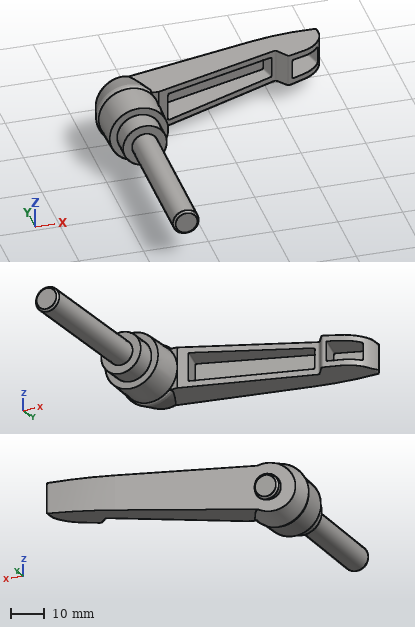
import cadquery as cq
import math


screw_diameter = 8.0
screw_chamfer = 0.65
screw_length = 45.0
screw_top = 28.45
collar_diameter = 13.5
collar_height = 6.5

hub_bottom_radius = 9.03
hub_top_radius = 9.3
rim_radius = 9.75
rim_bottom = 17.55
rim_round = 0.7
rim_band_height = 0.85
hub_cone_angle = 15.0
hub_blank_height = 32.0
trim_height = 40.0

arm_end = 65.0
overall_top = 41.55
top_angle = 15.0
top_axis_height = 27.15
top_round_radius = 77.0
underside_angle = 20.2
nose_radius = 11.0
nose_corner_round = 0.85
notch_x = 49.5
lip_x = 52.4
notch_round = 0.8
lip_round = 1.0

root_half_width = 6.62
width_slope = 1 / 30
end_corner_round = 0.8
arm_blank_width = 20.0
arm_blank_height = 50.0

pocket_wall = 2.0
pocket_roof = 3.0
pocket_corner_round = 0.6
pocket_cut_depth = 20.0
pocket_spans = [(9.8, 47.75), (52.3, 62.9)]

top_slope = math.tan(math.radians(top_angle))
underside_slope = math.tan(math.radians(underside_angle))


def top_height(x):
    return top_axis_height + top_slope * x


def underside_height(x):
    return rim_bottom + underside_slope * (x - hub_top_radius)


def half_width(x):
    return root_half_width - width_slope * (x - hub_top_radius)


def upright_arc_middle(lower, upper):
    """Middle of the bulging arc from lower to upper that ends parallel to the screw axis."""
    inset = upper[0] - lower[0]
    rise = upper[1] - lower[1]
    radius = (inset**2 + rise**2) / (2 * inset)
    half_angle = math.asin(rise / radius) / 2
    return (
        upper[0] - radius * (1 - math.cos(half_angle)),
        upper[1] - radius * math.sin(half_angle),
    )


def make_screw():
    shank = (
        cq.Workplane("XZ", origin=(0, screw_top, 0))
        .circle(screw_diameter / 2)
        .extrude(screw_top + screw_length)
        .faces("<Y or >Y")
        .chamfer(screw_chamfer)
    )
    collar = (
        cq.Workplane("XZ", origin=(0, collar_height, 0))
        .circle(collar_diameter / 2)
        .extrude(collar_height)
    )
    return shank.union(collar)


def make_hub():
    band_bottom = rim_bottom + rim_round
    band_top = band_bottom + rim_band_height
    cone_slope = math.tan(math.radians(hub_cone_angle))
    cone_top_radius = rim_radius - (hub_blank_height - band_top) * cone_slope
    hub_bottom = (hub_bottom_radius, collar_height)
    hub_top = (hub_top_radius, rim_bottom)
    band_start = (rim_radius, band_bottom)
    blank = (
        cq.Workplane("XY")
        .moveTo(0, collar_height)
        .lineTo(*hub_bottom)
        .threePointArc(upright_arc_middle(hub_bottom, hub_top), hub_top)
        .threePointArc(upright_arc_middle(hub_top, band_start), band_start)
        .lineTo(rim_radius, band_top)
        .lineTo(cone_top_radius, hub_blank_height)
        .lineTo(0, hub_blank_height)
        .close()
        .revolve(360, (0, 0, 0), (0, 1, 0))
    )

    reach = 2 * rim_radius
    above_slant = (
        cq.Workplane("XY")
        .moveTo(-reach, top_height(-reach))
        .lineTo(reach, top_height(reach))
        .lineTo(reach, trim_height)
        .lineTo(-reach, trim_height)
        .close()
        .extrude(reach, both=True)
    )
    return blank.cut(above_slant)


def make_side_profile():
    """Outline of the arm in the XY plane, extruded wider than the arm."""
    slant = math.radians(top_angle)
    corner_x = (overall_top - top_axis_height) / top_slope
    tangent = top_round_radius * math.tan(slant / 2)
    arc_start_x = corner_x - tangent * math.cos(slant)
    arc_end_x = corner_x + tangent
    arc_mid = (
        arc_end_x - top_round_radius * math.sin(slant / 2),
        overall_top - top_round_radius * (1 - math.cos(slant / 2)),
    )

    nose_center = (arm_end - nose_radius, overall_top - nose_corner_round)

    def nose_point(angle):
        return (
            nose_center[0] + nose_radius * math.cos(angle),
            nose_center[1] + nose_radius * math.sin(angle),
        )

    nose_start_angle = math.radians(underside_angle - 90)
    nose_start = nose_point(nose_start_angle)
    notch = (notch_x, underside_height(notch_x))
    lip = (lip_x, nose_start[1] - underside_slope * (nose_start[0] - lip_x))

    profile = (
        cq.Workplane("XY", origin=(0, 0, -arm_blank_width / 2))
        .moveTo(0, rim_bottom)
        .lineTo(hub_top_radius, rim_bottom)
        .lineTo(*notch)
        .lineTo(*lip)
        .lineTo(*nose_start)
        .threePointArc(nose_point(nose_start_angle / 2), nose_point(0))
        .radiusArc((arm_end - nose_corner_round, overall_top), -nose_corner_round)
        .lineTo(arc_end_x, overall_top)
        .threePointArc(arc_mid, (arc_start_x, top_height(arc_start_x)))
        .lineTo(0, top_height(0))
        .close()
        .extrude(arm_blank_width)
    )
    profile = profile.edges(cq.NearestToPointSelector((*notch, 0))).fillet(notch_round)
    return profile.edges(cq.NearestToPointSelector((*lip, 0))).fillet(lip_round)


def make_plan_profile():
    """Tapered outline of the arm in the XZ plane, extruded past its full height."""
    return (
        cq.Workplane("XZ")
        .moveTo(0, -half_width(0))
        .lineTo(arm_end, -half_width(arm_end))
        .lineTo(arm_end, half_width(arm_end))
        .lineTo(0, half_width(0))
        .close()
        .extrude(-arm_blank_height)
        .edges("|Y and >X")
        .fillet(end_corner_round)
    )


def make_pocket(start, end):
    """Tapered pocket cutter reaching from its floor out through the underside."""
    slant = math.radians(top_angle)
    floor_plane = cq.Plane(
        origin=(
            pocket_roof * math.sin(slant),
            top_axis_height - pocket_roof * math.cos(slant),
            0,
        ),
        xDir=(math.cos(slant), math.sin(slant), 0),
        normal=(math.sin(slant), -math.cos(slant), 0),
    )

    def pocket_half_width(distance):
        return half_width(distance * math.cos(slant)) - pocket_wall

    return (
        cq.Workplane(floor_plane)
        .moveTo(start, -pocket_half_width(start))
        .lineTo(end, -pocket_half_width(end))
        .lineTo(end, pocket_half_width(end))
        .lineTo(start, pocket_half_width(start))
        .close()
        .extrude(pocket_cut_depth)
        .edges(cq.ParallelDirSelector(floor_plane.zDir))
        .fillet(pocket_corner_round)
    )


def make_arm():
    arm = make_side_profile().intersect(make_plan_profile())
    for start, end in pocket_spans:
        arm = arm.cut(make_pocket(start, end))
    return arm


result = make_arm().union(make_hub()).union(make_screw())